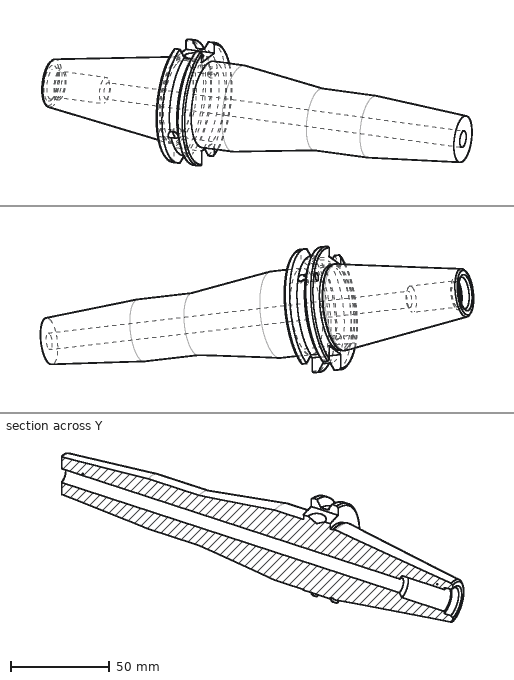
import cadquery as cq
import math

TOTAL_LENGTH = 228.2

TAPER_LENGTH = 68.5
GAUGE_DIAMETER = 44.5
TAPER_RATIO = 7 / 24
TAPER_TIP_CHAMFER = 1.0
NECK_DIAMETER = 43.5
NECK_CHAMFER = (GAUGE_DIAMETER - NECK_DIAMETER) / 2
GAUGE_LAND = 1.0

FLANGE_START = 71.5
FLANGE_THICKNESS = 15.7
FLANGE_DIAMETER = 63.5
FLANGE_CHAMFER = 1.0
GROOVE_CENTER_X = 79.5
GROOVE_BOTTOM_DIAMETER = 55.2
GROOVE_BOTTOM_WIDTH = 4.0
GROOVE_FLANK_ANGLE = 30.0

SLOT_WIDTH = 16.2
TOP_SLOT_DISTANCE = 25.0
BOTTOM_SLOT_DISTANCE = 22.5
DIMPLE_DIAMETER = 9.5
DIMPLE_TIP_ANGLE = 120.0

BODY_DIAMETER = 44.5
BODY_END = 104.0
SHANK_DIAMETER = 32.0
SHANK_START = 148.1
NOSE_START = 177.8
NOSE_DIAMETER = 24.0

PILOT_DIAMETER = 16.2
PILOT_DEPTH = 5.0
PILOT_CHAMFER = 1.1
THREAD_DIAMETER = 13.5
THREAD_DEPTH = 29.7
COOLANT_DIAMETER = 8.5
DRILL_TIP_ANGLE = 120.0

PORT_DIAMETER = 4.0
PORT_RADIUS = 27.0
PORT_ANGLE = 20.0
PORT_OUTLET_DEPTH = 4.0


def cone_depth(large_diameter, small_diameter, tip_angle):
    """Axial length of a cone between two diameters."""
    return (large_diameter - small_diameter) / 2 / math.tan(math.radians(tip_angle / 2))


def revolve_profile(stations):
    """Revolve (x, diameter) stations about the X axis."""
    profile = [(x, diameter / 2) for x, diameter in stations]
    outline = [(stations[0][0], 0)] + profile + [(stations[-1][0], 0)]
    return cq.Workplane("XY").polyline(outline).close().revolve(360, (0, 0, 0), (1, 0, 0))


def make_body():
    tip_diameter = GAUGE_DIAMETER - TAPER_LENGTH * TAPER_RATIO
    chamfer_end_diameter = tip_diameter + TAPER_TIP_CHAMFER * TAPER_RATIO
    flange_end = FLANGE_START + FLANGE_THICKNESS
    flange_face_diameter = FLANGE_DIAMETER - 2 * FLANGE_CHAMFER
    groove_depth = (FLANGE_DIAMETER - GROOVE_BOTTOM_DIAMETER) / 2
    bottom_half = GROOVE_BOTTOM_WIDTH / 2
    top_half = bottom_half + groove_depth * math.tan(math.radians(GROOVE_FLANK_ANGLE))
    neck_start = TAPER_LENGTH + GAUGE_LAND
    return revolve_profile([
        (0, chamfer_end_diameter - 2 * TAPER_TIP_CHAMFER),
        (TAPER_TIP_CHAMFER, chamfer_end_diameter),
        (TAPER_LENGTH, GAUGE_DIAMETER),
        (neck_start, GAUGE_DIAMETER),
        (neck_start + NECK_CHAMFER, NECK_DIAMETER),
        (FLANGE_START, NECK_DIAMETER),
        (FLANGE_START, flange_face_diameter),
        (FLANGE_START + FLANGE_CHAMFER, FLANGE_DIAMETER),
        (GROOVE_CENTER_X - top_half, FLANGE_DIAMETER),
        (GROOVE_CENTER_X - bottom_half, GROOVE_BOTTOM_DIAMETER),
        (GROOVE_CENTER_X + bottom_half, GROOVE_BOTTOM_DIAMETER),
        (GROOVE_CENTER_X + top_half, FLANGE_DIAMETER),
        (flange_end - FLANGE_CHAMFER, FLANGE_DIAMETER),
        (flange_end, flange_face_diameter),
        (flange_end, BODY_DIAMETER),
        (BODY_END, BODY_DIAMETER),
        (SHANK_START, SHANK_DIAMETER),
        (NOSE_START, SHANK_DIAMETER),
        (TOTAL_LENGTH, NOSE_DIAMETER),
    ])


def make_bore():
    cone_end = THREAD_DEPTH + cone_depth(THREAD_DIAMETER, COOLANT_DIAMETER, DRILL_TIP_ANGLE)
    return revolve_profile([
        (0, PILOT_DIAMETER + 2 * PILOT_CHAMFER),
        (PILOT_CHAMFER, PILOT_DIAMETER),
        (PILOT_DEPTH, PILOT_DIAMETER),
        (PILOT_DEPTH, THREAD_DIAMETER),
        (THREAD_DEPTH, THREAD_DIAMETER),
        (cone_end, COOLANT_DIAMETER),
        (TOTAL_LENGTH, COOLANT_DIAMETER),
    ])


def make_drive_slot(floor_distance, side):
    """Slot across the flange; side is +1 above the axis and -1 below it."""
    height = FLANGE_DIAMETER / 2
    center = (FLANGE_START + FLANGE_THICKNESS / 2, 0, side * (floor_distance + height / 2))
    return cq.Workplane("XY").box(FLANGE_THICKNESS, SLOT_WIDTH, height).translate(center)


def make_dimple():
    """Conical dimple in the floor of the top slot."""
    depth = cone_depth(DIMPLE_DIAMETER, 0, DIMPLE_TIP_ANGLE)
    cone = cq.Solid.makeCone(
        DIMPLE_DIAMETER / 2, 0, depth,
        cq.Vector(GROOVE_CENTER_X, 0, TOP_SLOT_DISTANCE), cq.Vector(0, 0, -1),
    )
    return cq.Workplane("XY").add(cone)


def make_port(angle):
    """Hole along X from the flange face, meeting a radial drilled outlet in the V groove."""
    outward = cq.Vector(0, math.cos(math.radians(angle)), math.sin(math.radians(angle)))
    inward = outward * -1
    port_radius = PORT_DIAMETER / 2
    groove_center = cq.Vector(GROOVE_CENTER_X, 0, 0)
    outlet_mouth = groove_center + outward * (FLANGE_DIAMETER / 2)
    outlet_floor = groove_center + outward * (GROOVE_BOTTOM_DIAMETER / 2 - PORT_OUTLET_DEPTH)
    inlet = cq.Solid.makeCylinder(
        port_radius, GROOVE_CENTER_X - FLANGE_START,
        cq.Vector(FLANGE_START, 0, 0) + outward * PORT_RADIUS, cq.Vector(1, 0, 0),
    )
    outlet = cq.Solid.makeCylinder(
        port_radius, (outlet_mouth - outlet_floor).Length, outlet_mouth, inward,
    )
    tip_depth = cone_depth(PORT_DIAMETER, 0, DRILL_TIP_ANGLE)
    outlet_tip = cq.Solid.makeCone(port_radius, 0, tip_depth, outlet_floor, inward)
    return cq.Workplane("XY").add(inlet.fuse(outlet, outlet_tip))


result = make_body().cut(make_bore())
result = result.cut(make_drive_slot(TOP_SLOT_DISTANCE, 1))
result = result.cut(make_drive_slot(BOTTOM_SLOT_DISTANCE, -1))
result = result.cut(make_dimple())
for port_angle in (PORT_ANGLE, PORT_ANGLE + 180):
    result = result.cut(make_port(port_angle))